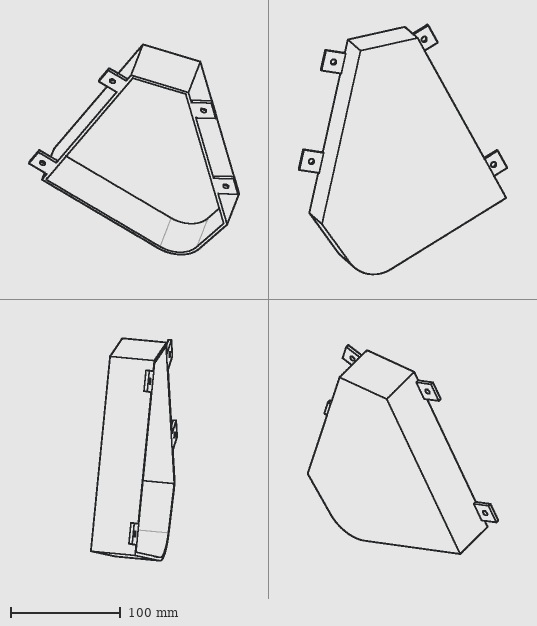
import cadquery as cq
import math

depth = 41.2
wall = 3.0
corner_radius = 29.8

lower_left = (0, 0)
upper_left = (84.3, 157.3)
upper_right = (138.5, 149.3)
lower_right = (175.1, -11.5)
bottom = (133.5, -72.0)

tab_size = 19.2
tab_thickness = 3.0
hole_diameter = 5.0
left_tab_inset = 9.7
right_tab_upper_inset = 12.5
right_tab_lower_inset = 38.5


def make_body():
    """Solid block with one rounded corner at the bottom."""
    corners = [lower_left, upper_left, upper_right, lower_right, bottom]
    block = cq.Workplane("XZ").polyline(corners).close().extrude(-depth)
    bottom_edge = cq.selectors.NearestToPointSelector((bottom[0], depth / 2, bottom[1]))
    return block.edges("|Y").edges(bottom_edge).fillet(corner_radius)


def make_tab(start, end, distance):
    """Drilled tab on the left of the wall from start to end, beginning at the given distance."""
    angle = math.degrees(math.atan2(end[1] - start[1], end[0] - start[0]))
    plate = (
        cq.Workplane("XZ")
        .center(distance + tab_size / 2, (tab_size - wall) / 2)
        .rect(tab_size, tab_size + wall)
        .extrude(-tab_thickness)
    )
    hole = (
        cq.Workplane("XZ")
        .center(distance + tab_size / 2, tab_size / 2)
        .circle(hole_diameter / 2)
        .extrude(-tab_thickness)
    )
    return plate.cut(hole).rotate((0, 0, 0), (0, 1, 0), -angle).translate((start[0], 0, start[1]))


result = make_body().faces("<Y").shell(-wall)

left_length = math.dist(lower_left, upper_left)
for distance in (left_tab_inset, left_length - left_tab_inset - tab_size):
    result = result.union(make_tab(lower_left, upper_left, distance))

right_length = math.dist(upper_right, lower_right)
for distance in (right_tab_upper_inset, right_length - right_tab_lower_inset - tab_size):
    result = result.union(make_tab(upper_right, lower_right, distance))